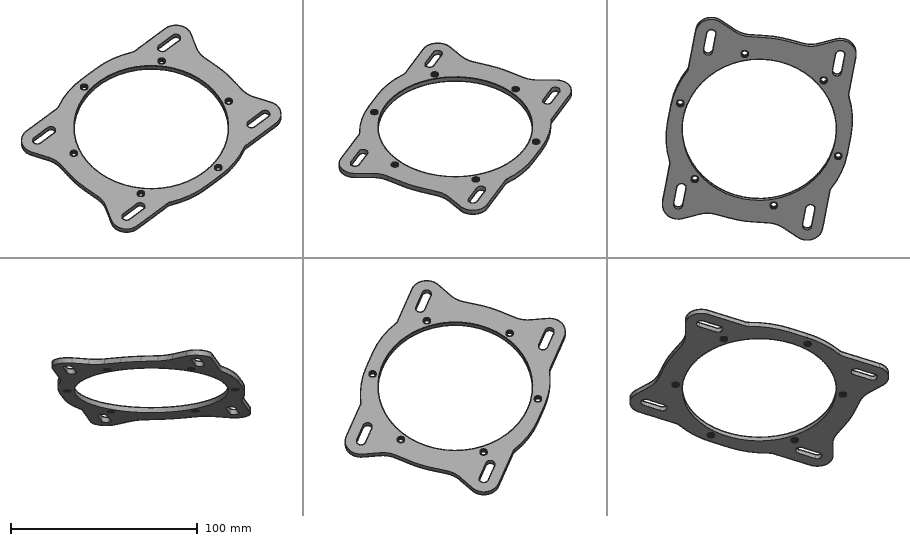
import cadquery as cq
import math

length = 118.3
width = 98.0
thickness = 3.0

lug_radius = 8.5
lug_x = 35.0
lug_y = length / 2 - lug_radius
lug_angle = math.radians(25.8)
slot_width = 5.0
slot_length = 14.9

side_radius = width / 2
side_half_straight = 5.2
shoulder_fillet = 4.0

crown_y = 54.0
crown_radius = 53.8
crown_half_width = 5.6
valley_fillet = 15.0

bore_diameter = 82.5
bore_chamfer = 0.2

hole_diameter = 3.3
thread_root_diameter = 4.0
thread_ring_count = 5
hole_circle_radius = 45.0
hole_count = 6
first_hole_angle = 10.0

lug_side_x = lug_x + lug_radius
shoulder_y = side_half_straight + math.sqrt(side_radius**2 - lug_side_x**2)
side_mid_angle = math.atan2(shoulder_y - side_half_straight, lug_side_x) / 2
lug_mid_angle = (math.pi / 2 + lug_angle) / 2
flank_x = lug_x - lug_radius * math.sin(lug_angle)
flank_y = lug_y + lug_radius * math.cos(lug_angle)
crown_angle = math.asin(crown_half_width / crown_radius)
crown_end_y = crown_y - crown_radius * (1 - math.cos(crown_angle))

crown_slope = -math.tan(crown_angle)
flank_slope = math.tan(lug_angle)
valley_x = (
    crown_end_y - flank_y + flank_slope * flank_x - crown_slope * crown_half_width
) / (flank_slope - crown_slope)
valley_y = flank_y + flank_slope * (valley_x - flank_x)


def quarter_plate():
    """Solid quarter of the plate, before the bore and holes are cut."""
    return (
        cq.Workplane("XY")
        .lineTo(width / 2, 0)
        .lineTo(width / 2, side_half_straight)
        .threePointArc(
            (
                side_radius * math.cos(side_mid_angle),
                side_half_straight + side_radius * math.sin(side_mid_angle),
            ),
            (lug_side_x, shoulder_y),
        )
        .lineTo(lug_side_x, lug_y)
        .threePointArc(
            (
                lug_x + lug_radius * math.cos(lug_mid_angle),
                lug_y + lug_radius * math.sin(lug_mid_angle),
            ),
            (flank_x, flank_y),
        )
        .lineTo(valley_x, valley_y)
        .lineTo(crown_half_width, crown_end_y)
        .threePointArc(
            (
                crown_radius * math.sin(crown_angle / 2),
                crown_y - crown_radius * (1 - math.cos(crown_angle / 2)),
            ),
            (0, crown_y),
        )
        .close()
        .extrude(thickness)
        .edges(cq.selectors.NearestToPointSelector((lug_side_x, shoulder_y, thickness / 2)))
        .fillet(shoulder_fillet)
        .edges(cq.selectors.NearestToPointSelector((valley_x, valley_y, thickness / 2)))
        .fillet(valley_fillet)
    )


def bore_cutter():
    """Through cutter for the bore that also breaks its upper rim."""
    bore_radius = bore_diameter / 2
    return (
        cq.Workplane("XZ")
        .lineTo(bore_radius, 0)
        .lineTo(bore_radius, thickness - bore_chamfer)
        .lineTo(bore_radius + bore_chamfer, thickness)
        .lineTo(0, thickness)
        .close()
        .revolve(360, (0, 0, 0), (0, 1, 0))
    )


def ringed_hole_cutter():
    """Through cutter with ring-shaped V grooves standing in for a screw thread."""
    pitch = thickness / thread_ring_count
    profile = cq.Workplane("XZ").lineTo(thread_root_diameter / 2, 0)
    for ring in range(thread_ring_count):
        profile = profile.lineTo(hole_diameter / 2, (ring + 0.5) * pitch)
        profile = profile.lineTo(thread_root_diameter / 2, (ring + 1) * pitch)
    return profile.lineTo(0, thickness).close().revolve(360, (0, 0, 0), (0, 1, 0))


quarter = quarter_plate()
half = quarter.union(quarter.mirror("YZ"))
plate = half.union(half.mirror("XZ")).clean()

slot_y = lug_y - (slot_length - slot_width) / 2
slots = (
    cq.Workplane("XY")
    .rect(2 * lug_x, 2 * slot_y, forConstruction=True)
    .vertices()
    .slot2D(slot_length, slot_width, 90)
    .extrude(thickness)
)
plate = plate.cut(slots)

plate = plate.cut(bore_cutter())

hole_cutter = ringed_hole_cutter()
for index in range(hole_count):
    angle = first_hole_angle + index * 360.0 / hole_count
    placed = hole_cutter.translate((hole_circle_radius, 0, 0)).rotate((0, 0, 0), (0, 0, 1), angle)
    plate = plate.cut(placed)

result = plate